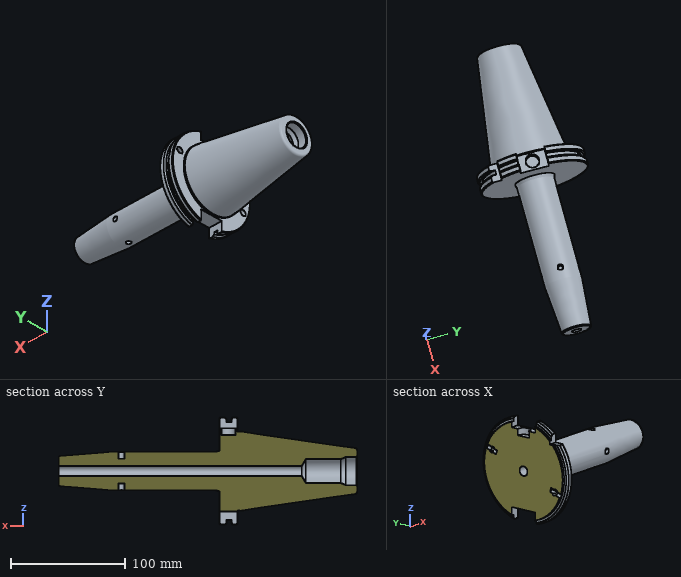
import cadquery as cq
import math


GAUGE_DIA = 69.85
TAPER_LENGTH = 101.75
TAPER_RATIO = 7 / 24
TAPER_END_FILLET = 2.5
TAPER_END_DIA = GAUGE_DIA - TAPER_LENGTH * TAPER_RATIO
TAPER_END_X = -TAPER_LENGTH

RELIEF_START_X = 1.6
RELIEF_END_X = 2.5
RELIEF_DEPTH = 0.15

FLANGE_DIA = 97.5
FLANGE_START_X = 3.2
FLANGE_END_X = 19.1
FLANGE_CHAMFER = 0.8
FLANGE_LENGTH = FLANGE_END_X - FLANGE_START_X

GROOVE_DIA = 89.6
GROOVE_START_X = 8.7
GROOVE_END_X = 12.7
GROOVE_LEAD_DEPTH = 1.6
GROOVE_REAR_LEAD = 0.8
GROOVE_FRONT_LEAD = 1.6

SLOT_WIDTH = 25.7
TOP_SLOT_FLOOR = 37.7
BOTTOM_SLOT_FLOOR = 35.5
NOTCH_WALL = 30.0
CHIP_POCKET_DIA = 12.0
CHIP_POCKET_DEPTH = 6.0
CHIP_POCKET_X = 11.1

COOLANT_PORT_RADIUS = 42.0
COOLANT_PORT_ANGLE = 20.0
COOLANT_PORT_DIA = 5.8
COOLANT_PORT_TILT = 32.0
COOLANT_PORT_DEPTH = 9.0
COOLANT_PORT_COUNT = 2
CROSS_HOLE_DIA = 3.5
CROSS_HOLE_BOTTOM = 33.0
GROOVE_MID_X = (GROOVE_START_X + GROOVE_END_X) / 2

SHANK_DIA = 34.0
BOSS_DIA = 36.0
BOSS_END_X = 22.2
NOSE_END_X = 160.0
NOSE_DIA = 27.0
NOSE_ANGLE = 4.5
NOSE_CHAMFER = 1.0
NOSE_START_X = NOSE_END_X - (SHANK_DIA - NOSE_DIA) / 2 / math.tan(math.radians(NOSE_ANGLE))

BALANCE_HOLE_DIA = 5.0
BALANCE_HOLE_DEPTH = 6.0
BALANCE_HOLE_COUNT = 4
BALANCE_HOLE_X = NOSE_END_X - 55.0

PILOT_DIA = 24.5
PILOT_DEPTH = 10.0
PILOT_CHAMFER = 0.9
THREAD_LEAD_LENGTH = 4.5
THREAD_DIA = 20.8
THREAD_DEPTH = 45.0
COOLANT_BORE_DIA = 8.5
DRILL_POINT_ANGLE = 118.0


def revolve_about_x(profile):
    """Turn a profile drawn as (x, radius) about the X axis."""
    return profile.revolve(360, (0, 0, 0), (1, 0, 0))


def drill_tip_length(start_dia, end_dia=0.0):
    """Axial length of the cone that a drill point leaves between two diameters."""
    return (start_dia - end_dia) / 2 / math.tan(math.radians(DRILL_POINT_ANGLE / 2))


def make_body():
    gauge_radius = GAUGE_DIA / 2
    flange_radius = FLANGE_DIA / 2
    rim_radius = flange_radius - FLANGE_CHAMFER
    groove_radius = GROOVE_DIA / 2
    lead_radius = flange_radius - GROOVE_LEAD_DEPTH
    relief_radius = gauge_radius - RELIEF_DEPTH
    nose_radius = NOSE_DIA / 2
    nose_chamfer_x = NOSE_END_X - NOSE_CHAMFER
    profile = (
        cq.Workplane("XY")
        .moveTo(TAPER_END_X, 0)
        .lineTo(TAPER_END_X, TAPER_END_DIA / 2)
        .lineTo(0, gauge_radius)
        .lineTo(RELIEF_START_X, gauge_radius)
        .lineTo(RELIEF_START_X, relief_radius)
        .lineTo(RELIEF_END_X, relief_radius)
        .lineTo(RELIEF_END_X, gauge_radius)
        .lineTo(FLANGE_START_X, gauge_radius)
        .lineTo(FLANGE_START_X, rim_radius)
        .lineTo(FLANGE_START_X + FLANGE_CHAMFER, flange_radius)
        .lineTo(GROOVE_START_X - GROOVE_REAR_LEAD, flange_radius)
        .lineTo(GROOVE_START_X, lead_radius)
        .lineTo(GROOVE_START_X, groove_radius)
        .lineTo(GROOVE_END_X, groove_radius)
        .lineTo(GROOVE_END_X, lead_radius)
        .lineTo(GROOVE_END_X + GROOVE_FRONT_LEAD, flange_radius)
        .lineTo(FLANGE_END_X - FLANGE_CHAMFER, flange_radius)
        .lineTo(FLANGE_END_X, rim_radius)
        .lineTo(FLANGE_END_X, BOSS_DIA / 2)
        .lineTo(BOSS_END_X, SHANK_DIA / 2)
        .lineTo(NOSE_START_X, SHANK_DIA / 2)
        .lineTo(nose_chamfer_x, nose_radius)
        .lineTo(NOSE_END_X, nose_radius - NOSE_CHAMFER)
        .lineTo(NOSE_END_X, 0)
        .close()
    )
    body = revolve_about_x(profile)
    return body.faces("<X").edges().fillet(TAPER_END_FILLET)


def make_bore():
    """Chamfered pilot, thread core with a drilled bottom, and the through coolant bore."""
    pilot_radius = PILOT_DIA / 2
    thread_radius = THREAD_DIA / 2
    coolant_radius = COOLANT_BORE_DIA / 2
    pilot_end_x = TAPER_END_X + PILOT_DEPTH
    thread_start_x = pilot_end_x + THREAD_LEAD_LENGTH
    thread_end_x = TAPER_END_X + THREAD_DEPTH
    coolant_start_x = thread_end_x + drill_tip_length(THREAD_DIA, COOLANT_BORE_DIA)
    profile = (
        cq.Workplane("XY")
        .moveTo(TAPER_END_X, 0)
        .lineTo(TAPER_END_X, pilot_radius + PILOT_CHAMFER)
        .lineTo(TAPER_END_X + PILOT_CHAMFER, pilot_radius)
        .lineTo(pilot_end_x, pilot_radius)
        .lineTo(thread_start_x, thread_radius)
        .lineTo(thread_end_x, thread_radius)
        .lineTo(coolant_start_x, coolant_radius)
        .lineTo(NOSE_END_X, coolant_radius)
        .lineTo(NOSE_END_X, 0)
        .close()
    )
    return revolve_about_x(profile)


def flange_block(y_min, y_max, z_min, z_max):
    """Box over the full flange length, for cutting into its rim."""
    size = (FLANGE_LENGTH, y_max - y_min, z_max - z_min)
    block = cq.Workplane("XY").box(*size, centered=False)
    return block.translate((FLANGE_START_X, y_min, z_min))


def make_rim_cuts():
    """Two drive slots and the index notch at the -Y, +Z corner."""
    half_width = SLOT_WIDTH / 2
    rim = FLANGE_DIA / 2
    top_slot = flange_block(-half_width, half_width, TOP_SLOT_FLOOR, rim)
    bottom_slot = flange_block(-half_width, half_width, -rim, -BOTTOM_SLOT_FLOOR)
    notch = flange_block(-rim, -NOTCH_WALL, NOTCH_WALL, rim)
    return top_slot.union(bottom_slot).union(notch)


def make_chip_pocket():
    """Round pocket in the floor of the top slot."""
    return (
        cq.Workplane("XY", origin=(CHIP_POCKET_X, 0, TOP_SLOT_FLOOR))
        .circle(CHIP_POCKET_DIA / 2)
        .extrude(-CHIP_POCKET_DEPTH)
    )


def make_coolant_hole():
    """Port on the +Y side, sloping in from the rear flange face to a radial cross hole from the groove."""
    radius = COOLANT_PORT_DIA / 2
    lead_in = COOLANT_PORT_DIA
    tip_x = COOLANT_PORT_DEPTH + drill_tip_length(COOLANT_PORT_DIA)
    profile = (
        cq.Workplane("XY")
        .moveTo(-lead_in, 0)
        .lineTo(-lead_in, radius)
        .lineTo(COOLANT_PORT_DEPTH, radius)
        .lineTo(tip_x, 0)
        .close()
    )
    port = revolve_about_x(profile).rotate((0, 0, 0), (0, 0, 1), -COOLANT_PORT_TILT)
    port = port.translate((FLANGE_START_X, COOLANT_PORT_RADIUS, 0))
    cross_hole = (
        cq.Workplane("XZ", origin=(GROOVE_MID_X, CROSS_HOLE_BOTTOM, 0))
        .circle(CROSS_HOLE_DIA / 2)
        .extrude(CROSS_HOLE_BOTTOM - FLANGE_DIA / 2)
    )
    return port.union(cross_hole).rotate((0, 0, 0), (1, 0, 0), COOLANT_PORT_ANGLE)


def make_balance_hole():
    """Radial blind hole in the top of the shank."""
    return (
        cq.Workplane("XY", origin=(BALANCE_HOLE_X, 0, SHANK_DIA / 2))
        .circle(BALANCE_HOLE_DIA / 2)
        .extrude(-BALANCE_HOLE_DEPTH)
    )


def cut_around_axis(body, cutter, count):
    """Cut equally spaced copies of a cutter around the X axis."""
    for index in range(count):
        body = body.cut(cutter.rotate((0, 0, 0), (1, 0, 0), index * 360 / count))
    return body


holder = make_body().cut(make_bore()).cut(make_rim_cuts()).cut(make_chip_pocket())
holder = cut_around_axis(holder, make_coolant_hole(), COOLANT_PORT_COUNT)
result = cut_around_axis(holder, make_balance_hole(), BALANCE_HOLE_COUNT)